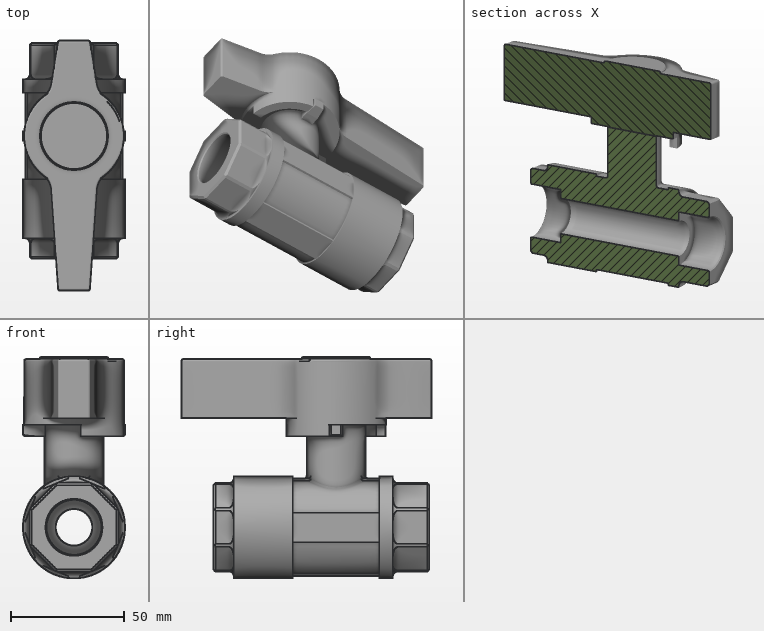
import cadquery as cq
import math


front_end_y = -54.0
back_end_y = 41.0
collar_dia = 45.0
front_collar = (-45.0, -19.0)
back_collar = (19.0, 25.0)
barrel_dia = 43.0
pad_width = 13.0
pad_distance = barrel_dia / 2

wrench_flats = 39.0
wrench_corner_flats = 41.6
wrench_chamfer = 1.0
wrench_root_radius = 2.0
wrench_sides = 8

bore_dia = 16.0
socket_dia = 24.12
socket_depth = 16.0
socket_chamfer = 0.5

stem_dia = 26.0
stem_root_fillet = 1.0

lug_tip_x = 22.5
lug_base_x = 17.0
lug_width = 5.8
lug_tip_width = 4.2
lug_tip_rise = 0.6

skirt_bottom_z = 40.0
skirt_top_z = 45.0
grip_bottom_z = 48.0
grip_top_z = 74.0
hub_dia = 44.0
skirt_inner_dia = 36.0
notch_offset = 3.0
arm_tip_width = 14.0
front_arm_length = 68.0
front_arm_root_width = 23.3
back_arm_length = 42.0
back_arm_root_width = 27.2
arm_blend_radius = 8.0
grip_edge_fillet = 1.0
cap_dia = 30.0
cap_height = 1.0
cap_chamfer = 0.5


def y_cylinder(diameter, y_start, y_end):
    """Cylinder on the flow axis between two Y positions."""
    plane = cq.Workplane("XZ", origin=(0, y_start, 0))
    return plane.circle(diameter / 2).extrude(y_start - y_end)


def wrench_end(wall_y, end_y):
    """Octagonal wrench end with bevelled corners; each flat curves up into the collar wall."""
    outward = math.copysign(1, end_y - wall_y)
    corner_circle = wrench_corner_flats / math.cos(math.pi / wrench_sides)
    blank = (
        cq.Workplane("XZ", origin=(0, wall_y, 0))
        .polygon(wrench_sides, corner_circle)
        .extrude(wall_y - end_y)
    )
    flat = wrench_flats / 2
    root = wrench_root_radius
    arc_inset = root * (1 - math.sqrt(0.5))
    clear_z = collar_dia
    clear_y = end_y + outward * root
    cutter = (
        cq.Workplane("YZ", origin=(-collar_dia / 2, 0, 0))
        .moveTo(wall_y, clear_z)
        .lineTo(wall_y, flat + root)
        .threePointArc(
            (wall_y + outward * arc_inset, flat + arc_inset),
            (wall_y + outward * root, flat),
        )
        .lineTo(end_y - outward * wrench_chamfer, flat)
        .lineTo(end_y, flat - wrench_chamfer)
        .lineTo(clear_y, flat - wrench_chamfer)
        .lineTo(clear_y, clear_z)
        .close()
        .extrude(collar_dia)
    )
    for side in range(wrench_sides):
        angle = 360 * side / wrench_sides
        blank = blank.cut(cutter.rotate((0, 0, 0), (0, 1, 0), angle))
    return blank


def socket(end_y, inward):
    """Pipe socket with a chamfered mouth, as a cutting tool."""
    mouth_radius = socket_dia / 2 + socket_chamfer
    return (
        cq.Workplane("XY")
        .moveTo(0, end_y)
        .lineTo(mouth_radius, end_y)
        .lineTo(socket_dia / 2, end_y + inward * socket_chamfer)
        .lineTo(socket_dia / 2, end_y + inward * socket_depth)
        .lineTo(0, end_y + inward * socket_depth)
        .close()
        .revolve(360, (0, 0, 0), (0, 1, 0))
    )


def stop_lug():
    """Stop lug on the +X side of the stem; its outer part tapers on the sides and underneath."""
    height = skirt_top_z - skirt_bottom_z
    middle_z = (skirt_top_z + skirt_bottom_z) / 2
    straight = cq.Workplane("XY").box(lug_base_x, lug_width, height, centered=(False, True, True))
    straight = straight.translate((0, 0, middle_z))
    tapered = (
        cq.Workplane("YZ", origin=(lug_base_x, 0, middle_z))
        .rect(lug_width, height)
        .workplane(offset=lug_tip_x - lug_base_x)
        .center(0, lug_tip_rise / 2)
        .rect(lug_tip_width, height - lug_tip_rise)
        .loft(ruled=True)
    )
    return straight.union(tapered)


def make_valve_body():
    barrel_start = front_collar[1]
    barrel_length = back_collar[0] - barrel_start
    barrel = y_cylinder(barrel_dia, barrel_start, back_collar[0])
    for width, height in ((pad_width, 2 * pad_distance), (2 * pad_distance, pad_width)):
        pads = cq.Workplane("XZ", origin=(0, barrel_start, 0)).rect(width, height)
        barrel = barrel.union(pads.extrude(-barrel_length))
    stem = cq.Workplane("XY").circle(stem_dia / 2).extrude(skirt_top_z)
    body = barrel.union(stem)
    root_reach = stem_dia / 2 + stem_root_fillet
    root_zone = cq.selectors.BoxSelector(
        (-root_reach, -root_reach, stem_root_fillet),
        (root_reach, root_reach, pad_distance + stem_root_fillet),
        boundingbox=True,
    )
    body = body.edges(root_zone).fillet(stem_root_fillet)

    for start, end in (front_collar, back_collar):
        body = body.union(y_cylinder(collar_dia, start, end))
    body = body.union(wrench_end(front_collar[0], front_end_y))
    body = body.union(wrench_end(back_collar[1], back_end_y))

    for angle in (0, 180):
        body = body.union(stop_lug().rotate((0, 0, 0), (0, 0, 1), angle))

    body = body.cut(y_cylinder(bore_dia, front_end_y, back_end_y))
    body = body.cut(socket(front_end_y, 1))
    return body.cut(socket(back_end_y, -1))


def handle_arm(tip_y, root_width):
    """Tapered grip arm from the hub centre to its tip."""
    return (
        cq.Workplane("XY", origin=(0, 0, grip_bottom_z))
        .polyline([
            (-root_width / 2, 0),
            (root_width / 2, 0),
            (arm_tip_width / 2, tip_y),
            (-arm_tip_width / 2, tip_y),
        ])
        .close()
        .extrude(grip_top_z - grip_bottom_z)
    )


def skirt_notch():
    """Quarter-turn clearance cut through the skirt wall on the -X, -Y side."""
    reach = hub_dia
    corner = notch_offset - reach
    base = cq.Workplane("XY", origin=(corner, corner, skirt_bottom_z))
    return base.box(reach, reach, skirt_top_z - skirt_bottom_z, centered=False)


def make_handle():
    hub_radius = hub_dia / 2
    grip = cq.Workplane("XY", origin=(0, 0, skirt_bottom_z)).circle(hub_radius)
    grip = grip.extrude(grip_top_z - skirt_bottom_z)
    arms = (
        (-front_arm_length, front_arm_root_width),
        (back_arm_length, back_arm_root_width),
    )
    for tip_y, root_width in arms:
        grip = grip.union(handle_arm(tip_y, root_width))
        side = math.copysign(1, tip_y)
        junction_zone = cq.selectors.BoxSelector(
            (-hub_radius, side * hub_radius / 2, grip_bottom_z),
            (hub_radius, side * hub_radius, grip_top_z),
        )
        grip = grip.edges("|Z").edges(junction_zone).fillet(arm_blend_radius)
    for tip in ("<Y", ">Y"):
        grip = grip.faces(tip).edges("|Z").fillet(grip_edge_fillet)
    grip = grip.faces(">Z").edges().fillet(grip_edge_fillet)

    cap = cq.Workplane("XY", origin=(0, 0, grip_top_z)).circle(cap_dia / 2).extrude(cap_height)
    cap = cap.faces(">Z").chamfer(cap_chamfer)

    cavity = cq.Workplane("XY", origin=(0, 0, skirt_bottom_z)).circle(skirt_inner_dia / 2)
    grip = grip.cut(cavity.extrude(skirt_top_z - skirt_bottom_z))
    for angle in (0, 180):
        grip = grip.cut(skirt_notch().rotate((0, 0, 0), (0, 0, 1), angle))
    return grip.union(cap)


valve_body = make_valve_body()
handle = make_handle()

result = cq.Compound.makeCompound([valve_body.val(), handle.val()])